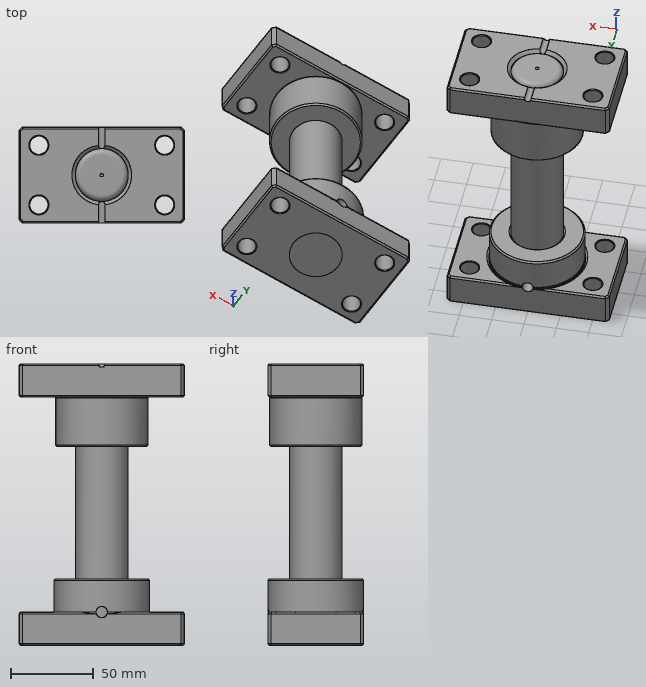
import cadquery as cq
TOTAL_HEIGHT = 170.2
PLATE_LENGTH = 100.0
PLATE_WIDTH = 58.0
PLATE_THICKNESS = 20.0
PLATE_CORNER_CHAMFER = 2.0
PLATE_EDGE_CHAMFER = 1.0

HOLE_SPACING_X = 76.0
HOLE_SPACING_Y = 36.0
HOLE_DIAMETER = 11.0
HOLE_CHAMFER = 0.5

POST_DIAMETER = 32.0
POST_END_FILLET = 3.5
CENTRE_DIMPLE_DIAMETER = 2.0
CENTRE_DIMPLE_DEPTH = 1.0
UPPER_BORE_DIAMETER = 32.0
UPPER_BORE_MOUTH_DIAMETER = 36.0
LOWER_BORE_RIM_CHAMFER = 1.0

HUB_DIAMETER = 56.0
HUB_HEIGHT = 30.0
HUB_CHAMFER = 1.0
HUB_NECK_DEPTH = 0.2
HUB_NECK_HEIGHT = 0.5

COLLAR_DIAMETER = PLATE_WIDTH
COLLAR_HEIGHT = 20.0
COLLAR_CHAMFER = 1.0
RELIEF_DEPTH = 1.0
RELIEF_GAP = 0.3
RELIEF_FLARE = 1.2

SIDE_HOLE_DIAMETER = 6.8
VENT_DIAMETER = 4.0

UPPER_PLATE_BOTTOM = TOTAL_HEIGHT - PLATE_THICKNESS
HUB_BOTTOM = UPPER_PLATE_BOTTOM - HUB_HEIGHT
COLLAR_TOP = PLATE_THICKNESS + COLLAR_HEIGHT


def cylinder(diameter, bottom, top):
    """Cylinder on the Z axis between two heights."""
    return cq.Workplane("XY", origin=(0, 0, bottom)).circle(diameter / 2).extrude(top - bottom)


def cone(bottom_diameter, top_diameter, bottom, top):
    """Cone or truncated cone on the Z axis between two heights."""
    solid = cq.Solid.makeCone(bottom_diameter / 2, top_diameter / 2, top - bottom, cq.Vector(0, 0, bottom))
    return cq.Workplane("XY").add(solid)


def mounting_plate(bottom):
    """Rectangular plate with chamfered edges and four chamfered through holes."""
    plate = (
        cq.Workplane("XY", origin=(0, 0, bottom))
        .rect(PLATE_LENGTH, PLATE_WIDTH)
        .extrude(PLATE_THICKNESS)
        .edges("|Z")
        .chamfer(PLATE_CORNER_CHAMFER)
        .faces("<Z or >Z")
        .edges()
        .chamfer(PLATE_EDGE_CHAMFER)
    )
    holes = (
        cq.Workplane("XY", origin=(0, 0, bottom))
        .rect(HOLE_SPACING_X, HOLE_SPACING_Y, forConstruction=True)
        .vertices()
        .circle(HOLE_DIAMETER / 2)
        .extrude(PLATE_THICKNESS)
    )
    plate = plate.cut(holes)
    return plate.faces("<Z or >Z").edges("%CIRCLE").chamfer(HOLE_CHAMFER)


def cross_hole(diameter, height):
    """Round cutter along Y, reaching across the whole plate width."""
    return cq.Workplane("XZ", origin=(0, 0, height)).circle(diameter / 2).extrude(PLATE_WIDTH / 2, both=True)


def make_upper():
    """Upper plate with its hub, bored to slide on the post."""
    neck_bottom = UPPER_PLATE_BOTTOM - HUB_NECK_HEIGHT
    hub = cylinder(HUB_DIAMETER, HUB_BOTTOM, neck_bottom).faces("<Z").chamfer(HUB_CHAMFER)
    neck = cylinder(HUB_DIAMETER - 2 * HUB_NECK_DEPTH, neck_bottom, UPPER_PLATE_BOTTOM)
    body = mounting_plate(UPPER_PLATE_BOTTOM).union(neck).union(hub)

    bore = cylinder(UPPER_BORE_DIAMETER, HUB_BOTTOM, TOTAL_HEIGHT)
    mouth_depth = (UPPER_BORE_MOUTH_DIAMETER - UPPER_BORE_DIAMETER) / 2
    mouth = cone(UPPER_BORE_DIAMETER, UPPER_BORE_MOUTH_DIAMETER, TOTAL_HEIGHT - mouth_depth, TOTAL_HEIGHT)
    return body.cut(bore).cut(mouth).cut(cross_hole(VENT_DIAMETER, TOTAL_HEIGHT))


def make_lower():
    """Lower plate with its collar, bored to hold the post."""
    relief_bottom = PLATE_THICKNESS - RELIEF_DEPTH
    relief_diameter = COLLAR_DIAMETER + 2 * RELIEF_GAP
    relief = cone(relief_diameter, relief_diameter + 2 * RELIEF_FLARE, relief_bottom, PLATE_THICKNESS)
    collar_foot = cylinder(COLLAR_DIAMETER - 2 * RELIEF_GAP, relief_bottom, PLATE_THICKNESS)
    collar = cylinder(COLLAR_DIAMETER, PLATE_THICKNESS, COLLAR_TOP).faces(">Z").chamfer(COLLAR_CHAMFER)
    body = mounting_plate(0).cut(relief).union(collar_foot).union(collar)

    bore = cylinder(POST_DIAMETER, 0, COLLAR_TOP)
    rim_diameter = POST_DIAMETER + 2 * LOWER_BORE_RIM_CHAMFER
    rim = cone(POST_DIAMETER, rim_diameter, COLLAR_TOP - LOWER_BORE_RIM_CHAMFER, COLLAR_TOP)
    return body.cut(bore).cut(rim).cut(cross_hole(SIDE_HOLE_DIAMETER, PLATE_THICKNESS))


def make_post():
    """Round post with a rounded upper end and a conical centre dimple."""
    post = cylinder(POST_DIAMETER, 0, TOTAL_HEIGHT).faces(">Z").edges().fillet(POST_END_FILLET)
    dimple = cone(0, CENTRE_DIMPLE_DIAMETER, TOTAL_HEIGHT - CENTRE_DIMPLE_DEPTH, TOTAL_HEIGHT)
    return post.cut(dimple)


upper = make_upper()
lower = make_lower()
post = make_post()
result = cq.Compound.makeCompound([upper.val(), lower.val(), post.val()])